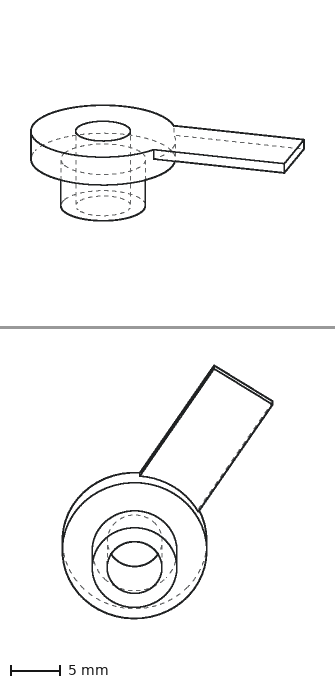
import cadquery as cq

overall_length = 27.25
overall_height = 8.0
flange_diameter = 14.5
flange_thickness = 3.0
boss_diameter = 8.5
bore_diameter = 5.5
arm_width = 7.0
arm_thickness = 1.0

arm_length = overall_length - flange_diameter / 2
flange_bottom = overall_height - flange_thickness
arm_bottom = overall_height - arm_thickness


def cylinder(diameter, bottom, height):
    """Upright cylinder on the bore axis."""
    return cq.Workplane("XY").workplane(offset=bottom).circle(diameter / 2).extrude(height)


boss = cylinder(boss_diameter, 0, flange_bottom)
flange = cylinder(flange_diameter, flange_bottom, flange_thickness)

arm = (
    cq.Workplane("XY")
    .workplane(offset=arm_bottom)
    .rect(arm_length, arm_width)
    .extrude(arm_thickness)
    .translate((arm_length / 2, 0, 0))
)

bore = cylinder(bore_diameter, 0, overall_height)

result = boss.union(flange).union(arm).cut(bore)